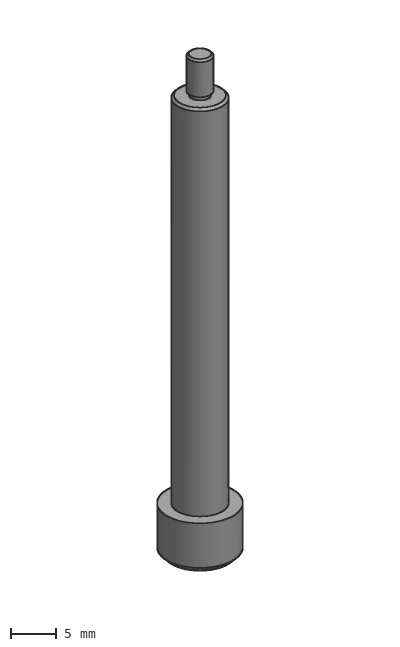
import cadquery as cq

total_length = 62.3

head_diameter = 9.4
head_height = 6.35
head_chamfer = 0.8

shank_diameter = 6.3
shank_chamfer = 0.3

pin_diameter = 3.0
pin_length = 5.2
pin_chamfer = 0.25
neck_diameter = 2.4
neck_length = 0.55

shank_top = total_length - pin_length
neck_top = shank_top + neck_length


def cylinder(diameter, bottom, top):
    """Upright cylinder on the Z axis between two heights."""
    return cq.Workplane("XY").workplane(offset=bottom).circle(diameter / 2).extrude(top - bottom)


head = cylinder(head_diameter, 0, head_height).faces("<Z").chamfer(head_chamfer)
shank = cylinder(shank_diameter, head_height, shank_top).faces(">Z").chamfer(shank_chamfer)
neck = cylinder(neck_diameter, shank_top, neck_top)
pin = cylinder(pin_diameter, neck_top, total_length).faces(">Z").chamfer(pin_chamfer)

result = head.union(shank).union(neck).union(pin)